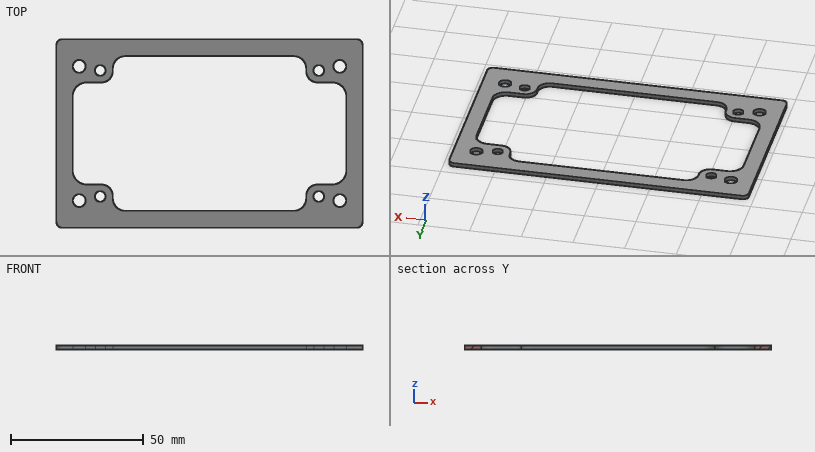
import cadquery as cq

length = 115.9
width = 71.4
thickness = 1.6
outer_corner_radius = 2.3

window_length = 103.4
window_width = 58.4
tab_length = 15.2
tab_width = 10.0
window_end_radius = 5.2
window_side_radius = 4.6
tab_corner_radius = 4.4

outer_hole_diameter = 4.8
outer_hole_spacing = (98.5, 50.8)
inner_hole_diameter = 3.9
inner_hole_spacing = (82.6, 47.6)


def make_plate():
    plate = cq.Workplane("XY").box(length, width, thickness, centered=(True, True, False))
    return plate.edges("|Z").fillet(outer_corner_radius)


def make_window():
    """Cross-shaped cutter, rounded at its ends and at the four tabs."""
    x_end = window_length / 2
    y_end = window_width / 2
    x_tab = x_end - tab_length
    y_tab = y_end - tab_width
    cross = (
        cq.Workplane("XY").rect(2 * x_end, 2 * y_tab).extrude(thickness)
        .union(cq.Workplane("XY").rect(2 * x_tab, 2 * y_end).extrude(thickness))
    )
    tab_corners = [(sx * x_tab, sy * y_tab, thickness / 2) for sx in (-1, 1) for sy in (-1, 1)]
    for corner in tab_corners:
        cross = cross.edges(cq.selectors.NearestToPointSelector(corner)).fillet(tab_corner_radius)
    for end_face in ("<X", ">X"):
        cross = cross.faces(end_face).edges("|Z").fillet(window_end_radius)
    for side_face in ("<Y", ">Y"):
        cross = cross.faces(side_face).edges("|Z").fillet(window_side_radius)
    return cross


def cut_corner_holes(plate, spacing, diameter):
    return (
        plate.faces(">Z").workplane(origin=(0, 0, thickness))
        .rect(*spacing, forConstruction=True).vertices().hole(diameter)
    )


result = make_plate().cut(make_window())
result = cut_corner_holes(result, outer_hole_spacing, outer_hole_diameter)
result = cut_corner_holes(result, inner_hole_spacing, inner_hole_diameter)